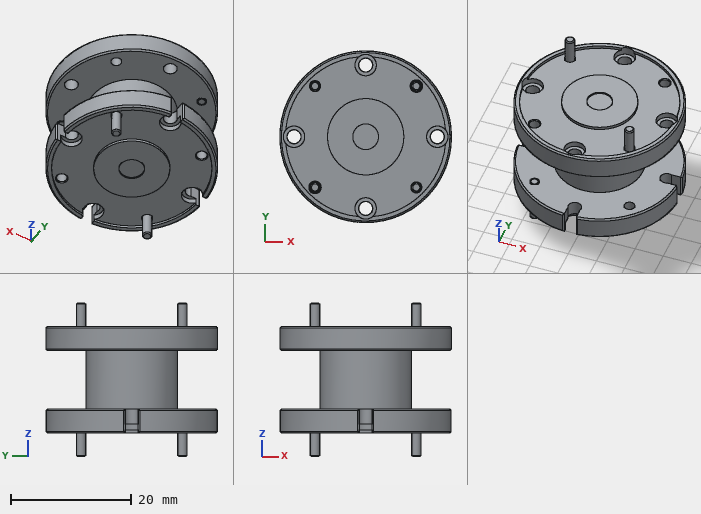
import cadquery as cq
import math

spool_length = 17.78
flange_diameter = 28.575
flange_thickness = 4.06
flange_chamfer = 0.28
barrel_diameter = 15.25

recess_diameter = 26.67
recess_depth = 0.5
boss_diameter = 12.7
window_diameter = 4.27
window_depth = 0.27

bolt_circle_diameter = 23.83
screw_hole_diameter = 2.29
counterbore_diameter = 3.56
counterbore_depth = 1.5
slot_width = 2.11

pin_diameter = 1.5875
pin_protrusion = 3.875
pin_chamfer = 0.2
pin_relief_diameter = 1.83
pin_relief_depth = 0.5
alignment_hole_diameter = 1.78
alignment_hole_chamfer = 0.15

half_length = spool_length / 2
bolt_circle_radius = bolt_circle_diameter / 2
flange_back_z = half_length - flange_thickness
recess_floor_z = half_length - recess_depth
pin_length = flange_thickness + pin_protrusion
screw_angles = [0, 90, 180, 270]
pin_angles = [135, 315]
alignment_angles = [45, 225]


def on_bolt_circle(angle):
    """X and Y of the point on the bolt circle at an angle in degrees."""
    turn = math.radians(angle)
    return bolt_circle_radius * math.cos(turn), bolt_circle_radius * math.sin(turn)


def cylinders(diameter, bottom_z, top_z, centers):
    """Vertical cylinders of one diameter between two heights."""
    plane = cq.Workplane("XY", origin=(0, 0, bottom_z))
    return plane.pushPoints(centers).circle(diameter / 2).extrude(top_z - bottom_z)


def slotted_disc(slot_angles):
    """Flange blank with radial slots, chamfered all round its rim."""
    disc = cylinders(flange_diameter, flange_back_z, half_length, [(0, 0)])
    slot = (
        cq.Workplane("XY", origin=(0, 0, flange_back_z))
        .moveTo(bolt_circle_radius, -slot_width / 2)
        .rect(flange_diameter, slot_width, centered=False)
        .extrude(flange_thickness)
    )
    for angle in slot_angles:
        disc = disc.cut(slot.rotate((0, 0, 0), (0, 0, 1), angle))
    return disc.faces("%CYLINDER").edges().chamfer(flange_chamfer)


def countersink(x, y):
    """Cone that breaks the mouth of an alignment hole at the recess floor."""
    hole_radius = alignment_hole_diameter / 2
    return cq.Workplane("XY").add(
        cq.Solid.makeCone(
            hole_radius,
            hole_radius + alignment_hole_chamfer,
            alignment_hole_chamfer,
            pnt=cq.Vector(x, y, recess_floor_z - alignment_hole_chamfer),
        )
    )


def flange(slot_angles):
    """Flange at the top of the spool, with its mating face up."""
    body = slotted_disc(slot_angles)
    centre = [(0, 0)]
    recess = cylinders(recess_diameter, recess_floor_z, half_length, centre)
    boss = cylinders(boss_diameter, recess_floor_z, half_length, centre)
    window = cylinders(window_diameter, half_length - window_depth, half_length, centre)
    body = body.cut(recess.cut(boss)).cut(window)

    screw_centers = [on_bolt_circle(angle) for angle in screw_angles]
    body = body.cut(cylinders(screw_hole_diameter, flange_back_z, half_length, screw_centers))
    body = body.cut(
        cylinders(counterbore_diameter, half_length - counterbore_depth, half_length, screw_centers)
    )

    pin_centers = [on_bolt_circle(angle) for angle in pin_angles]
    body = body.cut(cylinders(pin_diameter, flange_back_z, half_length, pin_centers))
    body = body.cut(
        cylinders(pin_relief_diameter, recess_floor_z - pin_relief_depth, half_length, pin_centers)
    )

    alignment_centers = [on_bolt_circle(angle) for angle in alignment_angles]
    holes = cylinders(alignment_hole_diameter, flange_back_z, recess_floor_z, alignment_centers)
    body = body.cut(holes)
    for x, y in alignment_centers:
        body = body.cut(countersink(x, y))
    return body


def turned_over(body):
    """Body turned half a turn about the X axis, from the top end to the bottom end."""
    return body.rotate((0, 0, 0), (1, 0, 0), 180)


barrel = cylinders(barrel_diameter, -flange_back_z, flange_back_z, [(0, 0)])
spool = barrel.union(flange([])).union(turned_over(flange(screw_angles)))

pins = []
for pin_angle in pin_angles:
    pin = cylinders(pin_diameter, flange_back_z, flange_back_z + pin_length, [on_bolt_circle(pin_angle)])
    pin = pin.faces("<Z or >Z").edges().chamfer(pin_chamfer)
    pins += [pin.val(), turned_over(pin).val()]

result = cq.Compound.makeCompound([spool.val(), *pins])